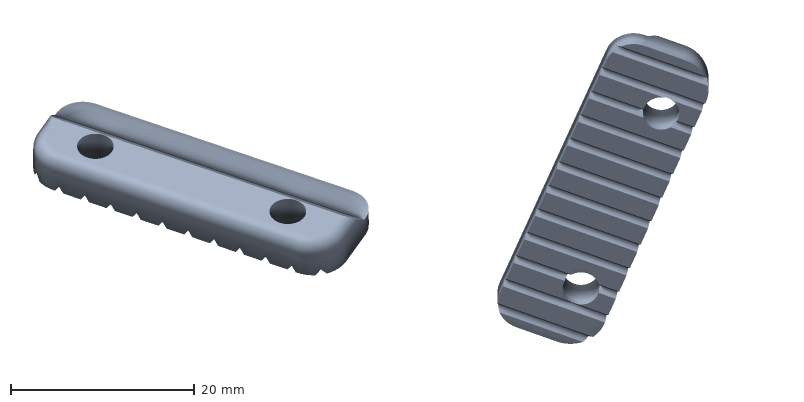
import cadquery as cq
import math

length = 37.6
width = 12.0
height = 4.5
front_corner_radius = 4.0
back_corner_radius = 3.2
top_edge_radius = 1.5

ledge_height = 2.5
ledge_depth = 3.55
ramp_angle = 40.0

hole_diameter = 4.0
hole_spacing = 23.4
hole_from_front = 4.0

groove_count = 12
groove_pitch = math.pi
groove_width = 1.0
groove_depth = 0.8

front_y = -width / 2
back_y = width / 2


def make_block():
    """Plate with rounded vertical corners and a rounded top rim."""
    block = cq.Workplane("XY").box(length, width, height, centered=(True, True, False))
    block = block.edges("|Z and <Y").fillet(front_corner_radius)
    block = block.edges("|Z and >Y").fillet(back_corner_radius)
    return block.faces(">Z").edges().fillet(top_edge_radius)


def make_ledge_cutter():
    """Prism along X that clears the space above the ledge and the ramp."""
    foot_y = back_y - ledge_depth
    ramp_run = (height - ledge_height) / math.tan(math.radians(ramp_angle))
    profile = [
        (back_y, ledge_height),
        (foot_y, ledge_height),
        (foot_y - ramp_run, height),
        (back_y, height),
    ]
    return cq.Workplane("YZ").polyline(profile).close().extrude(length / 2, both=True)


def make_holes():
    """Two plain holes through the full height."""
    hole_y = front_y + hole_from_front
    centres = [(-hole_spacing / 2, hole_y), (hole_spacing / 2, hole_y)]
    return cq.Workplane("XY").pushPoints(centres).circle(hole_diameter / 2).extrude(height)


def make_groove(centre_x):
    """One V groove running the full width along Y."""
    profile = [
        (centre_x - groove_width / 2, 0),
        (centre_x, groove_depth),
        (centre_x + groove_width / 2, 0),
    ]
    return cq.Workplane("XZ").polyline(profile).close().extrude(width / 2, both=True)


result = make_block().cut(make_ledge_cutter()).cut(make_holes())
first_groove_x = -groove_pitch * (groove_count - 1) / 2
for index in range(groove_count):
    result = result.cut(make_groove(first_groove_x + index * groove_pitch))